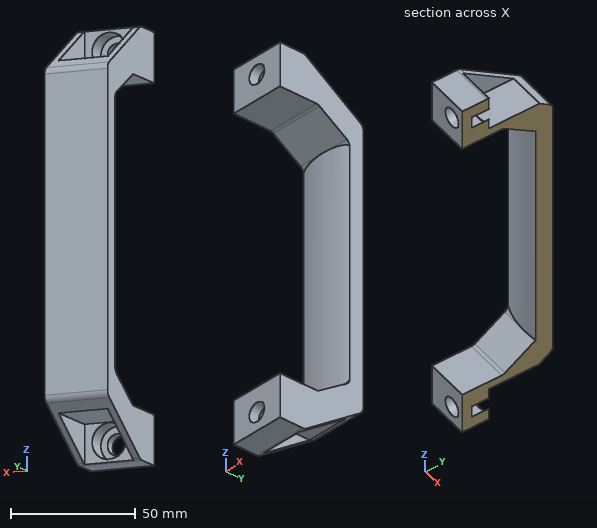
import cadquery as cq

length = 178.0
width = 28.0
depth = 45.0
half_length = length / 2

foot_top_depth = 13.4
foot_height = 21.0
foot_inner_depth = 20.5
outer_slope_drop = 21.2
slope_end_depth = 36.0
slope_end_drop = 31.0
grip_edge_depth = 37.7
grip_edge_drop = 33.6
corner_radius = 3.5
inner_corner_radius = 3.0

hole_diameter = 9.0
hole_inset = 8.9
counterbore_diameter = 15.0
counterbore_floor = 5.0
pocket_width = 21.7
pocket_front = 13.4
pocket_back = 38.3

slope_end_z = half_length - slope_end_drop
grip_edge_z = half_length - grip_edge_drop
foot_inner_z = half_length - foot_height
outer_slope_z = half_length - outer_slope_drop


def half_body():
    """Upper half of the bow, with rounded bends between foot, slope and grip."""
    body = (
        cq.Workplane("YZ")
        .moveTo(0, foot_inner_z)
        .lineTo(foot_inner_depth, foot_inner_z)
        .lineTo(slope_end_depth, slope_end_z)
        .tangentArcPoint((grip_edge_depth, grip_edge_z), relative=False)
        .lineTo(grip_edge_depth, 0)
        .lineTo(depth, 0)
        .lineTo(depth, outer_slope_z)
        .lineTo(foot_top_depth, half_length)
        .lineTo(0, half_length)
        .close()
        .extrude(width / 2, both=True)
    )
    bends = [
        (foot_inner_depth, foot_inner_z, inner_corner_radius),
        (depth, outer_slope_z, corner_radius),
        (foot_top_depth, half_length, corner_radius),
    ]
    for y, z, radius in bends:
        edge = cq.selectors.NearestToPointSelector((0, y, z))
        body = body.edges("|X").edges(edge).fillet(radius)
    return body


def half_grip_crown():
    """Convex front of the grip, running up to the end of the inner slope."""
    return (
        cq.Workplane("XY")
        .moveTo(-width / 2, grip_edge_depth)
        .threePointArc((0, slope_end_depth), (width / 2, grip_edge_depth))
        .close()
        .extrude(slope_end_z)
    )


def end_pocket():
    """Rectangular pocket open to the outer slope, its floor meeting the slope at the back."""
    slope_fraction = (pocket_back - foot_top_depth) / (depth - foot_top_depth)
    floor_z = half_length - outer_slope_drop * slope_fraction
    pocket_length = pocket_back - pocket_front
    pocket_depth = half_length - floor_z
    return (
        cq.Workplane("XY", origin=(0, pocket_front, floor_z))
        .box(pocket_width, pocket_length, pocket_depth, centered=(True, False, False))
    )


def mounting_hole():
    """Through hole from the mounting face, counterbored from the pocket side."""
    hole = (
        cq.Workplane("XZ")
        .center(0, half_length - hole_inset)
        .circle(hole_diameter / 2)
        .extrude(-pocket_back)
    )
    counterbore = (
        cq.Workplane("XZ", origin=(0, counterbore_floor, 0))
        .center(0, half_length - hole_inset)
        .circle(counterbore_diameter / 2)
        .extrude(-(pocket_front - counterbore_floor))
    )
    return hole.union(counterbore)


upper_half = half_body().union(half_grip_crown()).cut(end_pocket()).cut(mounting_hole())
result = upper_half.union(upper_half.mirror("XY")).clean()